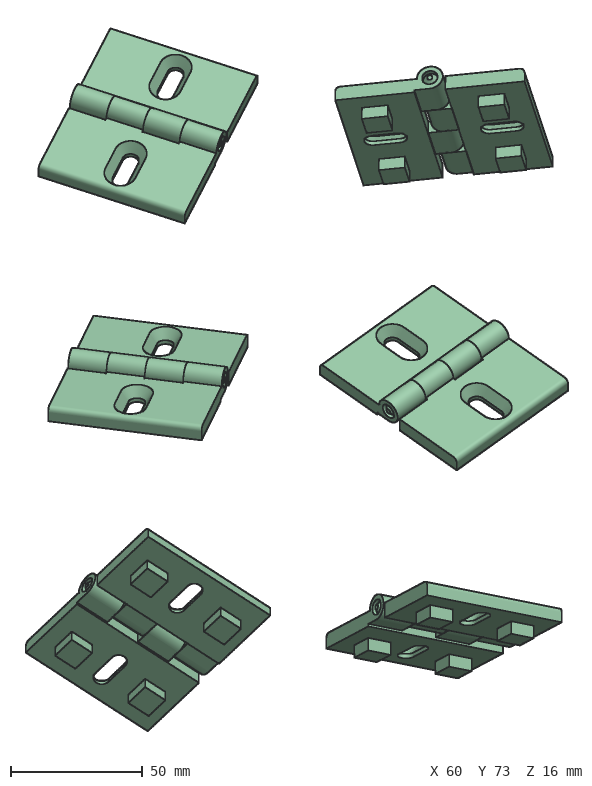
import cadquery as cq
import math

LENGTH_Y = 73.0
WIDTH_X = 60.0
LEAF_THICKNESS = 6.0
EDGE_RADIUS = 2.0
LEAF_GAP = 6.0

KNUCKLE_COUNT = 4
BARREL_DIAMETER = 10.0
BARREL_RADIUS = BARREL_DIAMETER / 2
KNUCKLE_WIDTH = WIDTH_X / KNUCKLE_COUNT
ARC_MIDPOINT = BARREL_RADIUS * math.sqrt(0.5)

SLOT_OFFSET_Y = 22.5
SLOT_CENTRES = 10.0
SLOT_WIDTH = 6.4
COUNTERSINK_WIDTH = 12.35
COUNTERSINK_DEPTH = 4.2

PIN_RADIUS = 3.0
PIN_TIP_RADIUS = 1.0
PIN_TIP_LENGTH = 2.0

BLOCK_SIDE = 10.0
BLOCK_HEIGHT = BLOCK_SIDE / 2
BLOCK_OFFSET_X = 18.0

LEAF_BOTTOM = -LEAF_THICKNESS


def knuckle(index):
    """Barrel segment with a web that joins it to the leaf on the +Y side."""
    start_x = -WIDTH_X / 2 + index * KNUCKLE_WIDTH
    return (
        cq.Workplane("YZ", origin=(start_x, 0, 0))
        .moveTo(0, -BARREL_RADIUS)
        .lineTo(LEAF_GAP, -BARREL_RADIUS)
        .lineTo(LEAF_GAP, 0)
        .lineTo(BARREL_RADIUS, 0)
        .threePointArc((-ARC_MIDPOINT, ARC_MIDPOINT), (0, -BARREL_RADIUS))
        .close()
        .extrude(KNUCKLE_WIDTH)
    )


def slot_cutter():
    """Through slot with a countersink at the top face."""
    through = (
        cq.Workplane("XY", origin=(0, SLOT_OFFSET_Y, LEAF_BOTTOM))
        .slot2D(SLOT_CENTRES + SLOT_WIDTH, SLOT_WIDTH, 90)
        .extrude(LEAF_THICKNESS)
    )
    wall_angle = math.degrees(math.atan((COUNTERSINK_WIDTH - SLOT_WIDTH) / 2 / COUNTERSINK_DEPTH))
    countersink = (
        cq.Workplane("XY", origin=(0, SLOT_OFFSET_Y, 0))
        .slot2D(SLOT_CENTRES + COUNTERSINK_WIDTH, COUNTERSINK_WIDTH, 90)
        .extrude(-COUNTERSINK_DEPTH, taper=wall_angle)
    )
    return through.union(countersink)


def leaf():
    """Leaf on the +Y side, carrying every second knuckle from the -X end."""
    plate_length = LENGTH_Y / 2 - LEAF_GAP
    body = (
        cq.Workplane("XY")
        .box(WIDTH_X, plate_length, LEAF_THICKNESS)
        .edges(">Y and >Z")
        .fillet(EDGE_RADIUS)
        .translate((0, LEAF_GAP + plate_length / 2, LEAF_BOTTOM / 2))
    )
    for index in range(0, KNUCKLE_COUNT, 2):
        body = body.union(knuckle(index))
    bore = cq.Workplane("YZ", origin=(-WIDTH_X / 2, 0, 0)).circle(PIN_RADIUS).extrude(WIDTH_X)
    return body.cut(bore).cut(slot_cutter())


def hinge_pin():
    """Round pin with a blunt cone at each end, its tips level with the barrel ends."""
    tip_x = WIDTH_X / 2
    shoulder_x = tip_x - PIN_TIP_LENGTH
    return (
        cq.Workplane("XY")
        .moveTo(-tip_x, 0)
        .lineTo(-tip_x, PIN_TIP_RADIUS)
        .lineTo(-shoulder_x, PIN_RADIUS)
        .lineTo(shoulder_x, PIN_RADIUS)
        .lineTo(tip_x, PIN_TIP_RADIUS)
        .lineTo(tip_x, 0)
        .close()
        .revolve(360, (0, 0, 0), (1, 0, 0))
    )


def locating_block(x, y):
    """Square block that sits against the underside of a leaf."""
    return (
        cq.Workplane("XY", origin=(x, y, LEAF_BOTTOM))
        .rect(BLOCK_SIDE, BLOCK_SIDE)
        .extrude(-BLOCK_HEIGHT)
    )


rear_leaf = leaf()
front_leaf = leaf().rotate((0, 0, 0), (0, 0, 1), 180)
pin = hinge_pin()

blocks = []
for block_x in (-BLOCK_OFFSET_X, BLOCK_OFFSET_X):
    for block_y in (-SLOT_OFFSET_Y, SLOT_OFFSET_Y):
        blocks.append(locating_block(block_x, block_y).val())

result = cq.Compound.makeCompound([rear_leaf.val(), front_leaf.val(), pin.val(), *blocks])